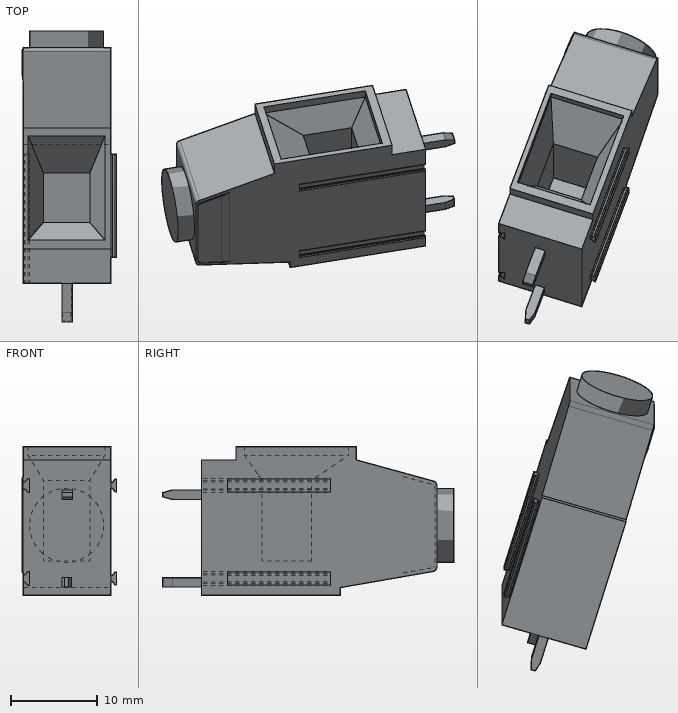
import cadquery as cq


body_width = 10.2
body_left = -5.05
body_right = body_left + body_width
body_length = 27.35
body_height = 17.25
shoulder_z = 15.72
hub_front_y = 4.0
hub_back_y = 18.0
foot_back_y = 16.13
foot_z = 0.88
back_bottom_z = 2.83
back_top_z = 13.15
back_corner_radius = 0.6

screw_diameter = 8.6
screw_length = 1.95
screw_z = 8.12

funnel_center_y = 11.05
funnel_size_x = 8.9
funnel_size_y = 12.05
rim_depth = 1.0
shaft_center_y = 9.92
shaft_size_x = 5.4
shaft_size_y = 5.75
shaft_top_z = body_height - 3.9
shaft_floor_z = 4.0

joint_levels = (1.95, 12.76)
groove_length = 15.0
groove_neck_width = 0.82
groove_neck_depth = 0.2
groove_wide_width = 1.63
groove_depth = 0.73
groove_lip_depth = 0.13
mouth_chamfer_height = 0.15
mouth_chamfer_depth = 0.08
rail_start_y = 3.0
rail_end_y = 15.0
rail_neck_width = 0.72
rail_neck_depth = 0.16
rail_wide_width = 1.53
rail_height = 0.65
rail_lip_depth = 0.16

pad_height = 0.13
pad_front_y = 23.37
pad_ramp_end_y = 24.31
pad_back_y = 27.13
pad_slope_inset = 0.45
pad_corner_radius = 0.45

pin_length = 4.5
pin_taper_length = 1.12
pin_thickness = 1.12
pin_tip_thickness = 0.5
upper_pin_width = 1.22
upper_pin_x = 0.05
upper_pin_z = 11.67
lower_pin_z = 1.5


def slope_z(y, start, end):
    """Height at y on the straight line through two (y, z) points."""
    return start[1] + (y - start[0]) * (end[1] - start[1]) / (end[0] - start[0])


def extrude_along_x(points, x_start, x_end):
    """Prism of a (y, z) outline between two X positions."""
    return cq.Workplane("YZ").workplane(offset=x_start).polyline(points).close().extrude(x_end - x_start)


def extrude_along_y(points, y_start, y_end):
    """Prism of an (x, z) outline between two Y positions."""
    return cq.Workplane("XZ").workplane(offset=-y_start).polyline(points).close().extrude(y_start - y_end)


def housing():
    outline = [
        (0, 0),
        (foot_back_y, 0),
        (foot_back_y, foot_z),
        (body_length, back_bottom_z),
        (body_length, back_top_z),
        (hub_back_y, shoulder_z),
        (hub_back_y, body_height),
        (hub_front_y, body_height),
        (hub_front_y, shoulder_z),
        (0, shoulder_z),
    ]
    block = extrude_along_x(outline, body_left, body_right)
    return block.faces(">Y").edges("|X").fillet(back_corner_radius)


def screw_head():
    plane = cq.Workplane("XZ", origin=(0, body_length, screw_z))
    return plane.circle(screw_diameter / 2).extrude(-screw_length)


def wire_funnel():
    """Cutter: straight rim, tapered throat and rectangular shaft."""
    taper_top_z = body_height - rim_depth
    mouth = cq.Workplane("XY", origin=(0, funnel_center_y, taper_top_z))
    rim = mouth.rect(funnel_size_x, funnel_size_y).extrude(rim_depth)
    throat = (
        mouth.rect(funnel_size_x, funnel_size_y)
        .workplane(offset=shaft_top_z - taper_top_z)
        .center(0, shaft_center_y - funnel_center_y)
        .rect(shaft_size_x, shaft_size_y)
        .loft(ruled=True)
    )
    shaft = (
        cq.Workplane("XY", origin=(0, shaft_center_y, shaft_floor_z))
        .rect(shaft_size_x, shaft_size_y)
        .extrude(shaft_top_z - shaft_floor_z)
    )
    return rim.union(throat).union(shaft)


def symmetric_outline(x_base, z_center, stations):
    """Closed (x, z) outline from (x offset, width) stations, symmetric about z_center."""
    lower = [(x_base + offset, z_center - width / 2) for offset, width in stations]
    upper = [(x_base + offset, z_center + width / 2) for offset, width in reversed(stations)]
    return lower + upper


def dovetail_groove(z_center):
    stations = [
        (0, groove_neck_width + 2 * mouth_chamfer_height),
        (mouth_chamfer_depth, groove_neck_width),
        (groove_neck_depth, groove_neck_width),
        (groove_depth - groove_lip_depth, groove_wide_width),
        (groove_depth, groove_wide_width),
    ]
    return extrude_along_y(symmetric_outline(body_left, z_center, stations), 0, groove_length)


def dovetail_rail(z_center):
    stations = [
        (0, rail_neck_width),
        (rail_neck_depth, rail_neck_width),
        (rail_height - rail_lip_depth, rail_wide_width),
        (rail_height, rail_wide_width),
    ]
    return extrude_along_y(symmetric_outline(body_right, z_center, stations), rail_start_y, rail_end_y)


def label_pad():
    """Thin pad that follows the sloped back of the housing and ramps down at its front."""

    def top_z(y):
        return slope_z(y, (hub_back_y, shoulder_z), (body_length, back_top_z)) - pad_slope_inset

    def bottom_z(y):
        return slope_z(y, (foot_back_y, foot_z), (body_length, back_bottom_z)) + pad_slope_inset

    outline = [
        (pad_front_y, bottom_z(pad_front_y)),
        (pad_back_y, bottom_z(pad_back_y)),
        (pad_back_y, top_z(pad_back_y)),
        (pad_front_y, top_z(pad_front_y)),
    ]
    pad = extrude_along_x(outline, body_left - pad_height, body_left)
    pad = pad.faces(">Y").edges("|X").fillet(pad_corner_radius)
    ramp = (
        cq.Workplane("XY")
        .moveTo(body_left, pad_front_y)
        .lineTo(body_left - pad_height, pad_front_y)
        .lineTo(body_left - pad_height, pad_ramp_end_y)
        .close()
        .extrude(body_height)
    )
    return pad.cut(ramp)


def solder_pin(width):
    """Pin along -Y from the origin, with a tip tapered in Z."""
    taper_start_y = pin_taper_length - pin_length
    half = pin_thickness / 2
    tip_half = pin_tip_thickness / 2
    outline = [
        (0, -half),
        (0, half),
        (taper_start_y, half),
        (-pin_length, tip_half),
        (-pin_length, -tip_half),
        (taper_start_y, -half),
    ]
    return extrude_along_x(outline, -width / 2, width / 2)


def upper_pin():
    return solder_pin(upper_pin_width).translate((upper_pin_x, 0, upper_pin_z))


def lower_pin():
    """Same pin turned a quarter about its axis, so that its tip tapers in X."""
    turned = solder_pin(pin_thickness).rotate((0, 0, 0), (0, 1, 0), 90)
    return turned.translate((0, 0, lower_pin_z))


result = housing().union(screw_head()).cut(wire_funnel())
for level in joint_levels:
    result = result.cut(dovetail_groove(level)).union(dovetail_rail(level))
result = result.union(label_pad()).union(upper_pin()).union(lower_pin())